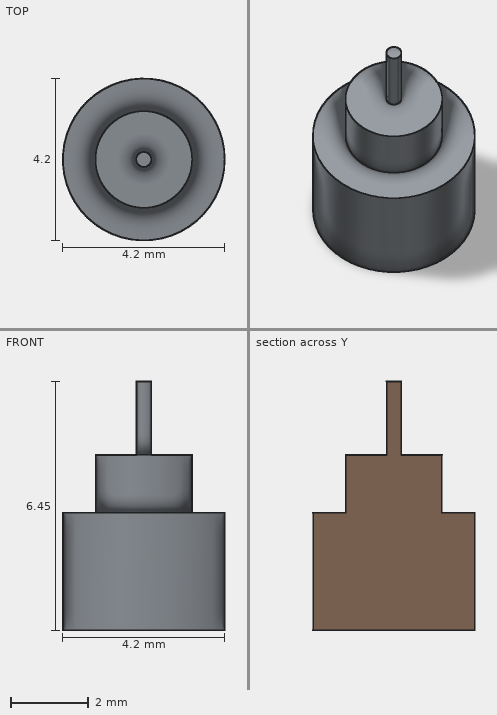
import cadquery as cq

body_diameter = 4.2
body_height = 3.05
collar_diameter = 2.505
collar_height = 1.5
insulator_diameter = 1.95
pin_diameter = 0.39
pin_length = 1.9

collar_top = body_height + collar_height


def cylinder(diameter, bottom, height):
    """Upright cylinder centred on the Z axis."""
    return cq.Workplane("XY", origin=(0, 0, bottom)).circle(diameter / 2).extrude(height)


def make_shell():
    """Wide body with a narrower collar on top, bored out along the collar."""
    body = cylinder(body_diameter, 0, body_height)
    collar = cylinder(collar_diameter, body_height, collar_height)
    bore = cylinder(insulator_diameter, body_height, collar_height)
    return body.union(collar).cut(bore)


def make_insulator():
    """Plug that fills the bore flush with the collar's end face."""
    return cylinder(insulator_diameter, body_height, collar_height)


def make_pin():
    """Thin contact pin standing on the insulator."""
    return cylinder(pin_diameter, collar_top, pin_length)


result = make_shell().union(make_insulator(), clean=False).union(make_pin(), clean=False)